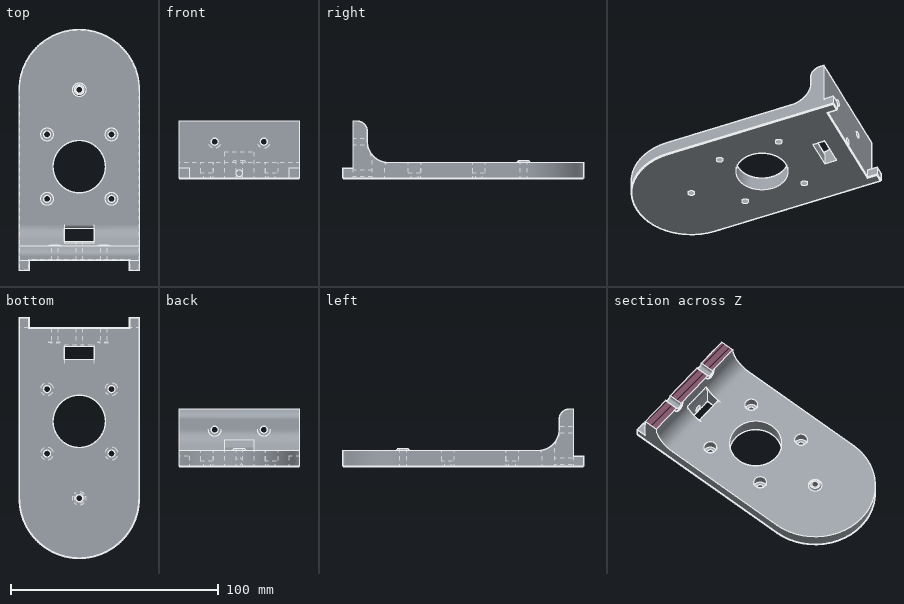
import cadquery as cq

width = 58.0
length = 116.0
height = 28.0
plate_thickness = 8.0
end_radius = width / 2
end_center_y = length - end_radius

foot_size = 5.0
foot_height = 5.2
wall_thickness = 7.0
wall_front_y = foot_size
wall_back_y = wall_front_y + wall_thickness
wall_fillet = 10.0
wall_top_round = 5.0

relief_inset = 0.3
relief_height = 0.6

screw_diameter = 3.2
head_diameter = 6.1
head_depth = 5.0
motor_center_y = 50.0
motor_bore_diameter = 25.0
motor_hole_spacing = 31.0

boss_base_diameter = 6.5
boss_top_diameter = 4.8
boss_height = 1.0

wall_hole_spacing = 23.7
wall_hole_z = 18.0
front_hole_z = 2.8

slot_width = 14.4
slot_front_y = 14.0
slot_front_bevel = 0.7
slot_bevel_start_z = 9.3
slot_bevel_end_z = 12.5
slot_back_y = 20.2
slot_back_round = wall_back_y + wall_fillet - slot_back_y


def footprint(inset):
    """Plan outline with a round end and two feet, offset inward by inset."""
    side = width / 2 - inset
    foot_inner_x = width / 2 - foot_size + inset
    front = wall_front_y + inset
    return (
        cq.Workplane("XY")
        .moveTo(-side, inset)
        .lineTo(-side, end_center_y)
        .threePointArc((0, length - inset), (side, end_center_y))
        .lineTo(side, inset)
        .lineTo(foot_inner_x, inset)
        .lineTo(foot_inner_x, front)
        .lineTo(-foot_inner_x, front)
        .lineTo(-foot_inner_x, inset)
        .close()
    )


def side_profile():
    """Side shape of plate, filleted wall and feet, extruded across the width."""
    return (
        cq.Workplane("YZ")
        .moveTo(0, 0)
        .lineTo(length, 0)
        .lineTo(length, plate_thickness)
        .lineTo(wall_back_y + wall_fillet, plate_thickness)
        .radiusArc((wall_back_y, plate_thickness + wall_fillet), wall_fillet)
        .lineTo(wall_back_y, height - wall_top_round)
        .radiusArc((wall_back_y - wall_top_round, height), -wall_top_round)
        .lineTo(wall_front_y, height)
        .lineTo(wall_front_y, foot_height)
        .lineTo(0, foot_height)
        .close()
        .extrude(width / 2, both=True)
    )


def cylinder_along_y(x, z, diameter, start_y, end_y):
    center = cq.Vector(x, start_y, z)
    return cq.Solid.makeCylinder(diameter / 2, end_y - start_y, center, cq.Vector(0, 1, 0))


def slot_cutter():
    """Slot with a bevel at the top of its front face and a rounded upper back edge."""
    return (
        cq.Workplane("YZ")
        .moveTo(slot_front_y, 0)
        .lineTo(slot_back_y, 0)
        .lineTo(slot_back_y, plate_thickness - slot_back_round)
        .radiusArc((slot_back_y + slot_back_round, plate_thickness), slot_back_round)
        .lineTo(slot_back_y + slot_back_round, height)
        .lineTo(slot_front_y - slot_front_bevel, height)
        .lineTo(slot_front_y - slot_front_bevel, slot_bevel_end_z)
        .lineTo(slot_front_y, slot_bevel_start_z)
        .close()
        .extrude(slot_width / 2, both=True)
    )


base_layer = footprint(relief_inset).extrude(relief_height)
upper_layer = footprint(0).extrude(height).translate((0, 0, relief_height))
body = side_profile().intersect(base_layer.union(upper_layer))

boss = (
    cq.Workplane("XY", origin=(0, end_center_y, plate_thickness))
    .circle(boss_base_diameter / 2)
    .workplane(offset=boss_height)
    .circle(boss_top_diameter / 2)
    .loft()
)
boss_hole = cq.Workplane("XY").center(0, end_center_y).circle(screw_diameter / 2).extrude(height)
body = body.union(boss).cut(boss_hole)

motor_bore = cq.Workplane("XY").center(0, motor_center_y).circle(motor_bore_diameter / 2).extrude(height)
body = body.cut(motor_bore)
body = (
    body.copyWorkplane(cq.Workplane("XY", origin=(0, motor_center_y, plate_thickness)))
    .rarray(motor_hole_spacing, motor_hole_spacing, 2, 2)
    .cboreHole(screw_diameter, head_diameter, head_depth)
)

body = body.cut(slot_cutter())
body = body.cut(cylinder_along_y(0, front_hole_z, screw_diameter, 0, slot_back_y))

for x in (-wall_hole_spacing / 2, wall_hole_spacing / 2):
    body = body.cut(cylinder_along_y(x, wall_hole_z, screw_diameter, 0, wall_back_y))
    head_end_y = wall_back_y + wall_fillet
    body = body.cut(cylinder_along_y(x, wall_hole_z, head_diameter, wall_back_y, head_end_y))

result = body